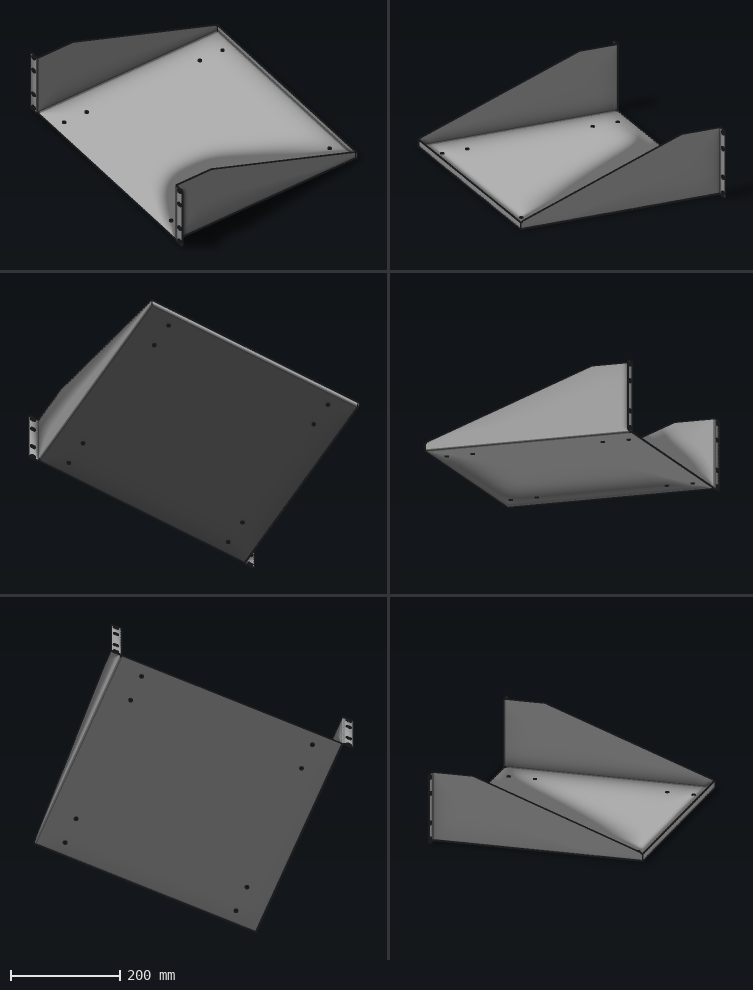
import cadquery as cq

width = 482.8
depth = 406.5
height = 132.8
sheet = 2.0

tray_width = 443.0
lip_height = 15.0
lip_flat = 4.0
wall_step = 2.0
crest_length = 80.0
bend_inner = 0.5
bend_outer = bend_inner + sheet

ear_bend_inner = 1.0
ear_bend_outer = ear_bend_inner + sheet
ear_corner_radius = 4.0
slot_length = 10.0
slot_width = 6.8
slot_x = 232.0
slot_offsets = (28.5, 60.0)

hole_diameter = 6.5
hole_x = 170.5
hole_rows = (25.5, 76.5, 330.0, 381.0)

tray_half = tray_width / 2
inner_half = tray_half - sheet
floor_front = sheet
wall_front = ear_bend_outer


def box(x_min, x_max, y_min, y_max, z_min, z_max):
    """Axis-aligned block given by its limits."""
    size = (x_max - x_min, y_max - y_min, z_max - z_min)
    return cq.Workplane("XY").box(*size, centered=False).translate((x_min, y_min, z_min))


def make_tray():
    """Folded floor, rear lip and tapered side walls."""
    outside = box(-tray_half, tray_half, floor_front, depth, 0, height)
    outside = outside.edges("<Z and (|Y or >Y)").fillet(bend_outer)

    cavity = box(-inner_half, inner_half, -sheet, depth - sheet, sheet, height + sheet)
    cavity = cavity.edges("<Z and (|Y or >Y)").fillet(bend_inner)

    side_profile = (
        cq.Workplane("YZ")
        .moveTo(floor_front, 0)
        .lineTo(depth, 0)
        .lineTo(depth, lip_height)
        .lineTo(depth - lip_flat, lip_height)
        .lineTo(depth - lip_flat, lip_height + wall_step)
        .lineTo(crest_length, height)
        .lineTo(floor_front, height)
        .close()
        .extrude(tray_half, both=True)
    )
    tray = outside.cut(cavity).intersect(side_profile)

    for x_min in (-tray_half, inner_half):
        tray = tray.cut(box(x_min, x_min + sheet, 0, wall_front, 0, height))
    return tray


def make_right_ear():
    """Slotted mounting ear and the bend joining it to the right side wall."""
    bend_x = inner_half + ear_bend_outer
    plate = box(bend_x, width / 2, 0, sheet, 0, height)
    plate = plate.edges("|Y and >X").fillet(ear_corner_radius)

    bend = (
        cq.Workplane("XY")
        .center(bend_x, wall_front)
        .circle(ear_bend_outer)
        .circle(ear_bend_inner)
        .extrude(height)
        .intersect(box(inner_half, bend_x, 0, wall_front, 0, height))
    )

    slot_points = [(slot_x, height / 2 + side * offset) for side in (-1, 1) for offset in slot_offsets]
    slots = (
        cq.Workplane("XZ")
        .pushPoints(slot_points)
        .slot2D(slot_length, slot_width)
        .extrude(sheet, both=True)
    )

    wall_foot = box(inner_half, tray_half, wall_front, wall_front + sheet, 0, height)
    return plate.union(bend).union(wall_foot).cut(slots)


def make_floor_holes():
    """Cutters for the mounting holes through the floor."""
    points = [(side * hole_x, y) for side in (-1, 1) for y in hole_rows]
    return cq.Workplane("XY").pushPoints(points).circle(hole_diameter / 2).extrude(2 * sheet)


right_ear = make_right_ear()
left_ear = right_ear.mirror("YZ")
result = make_tray().cut(make_floor_holes()).union(right_ear).union(left_ear)